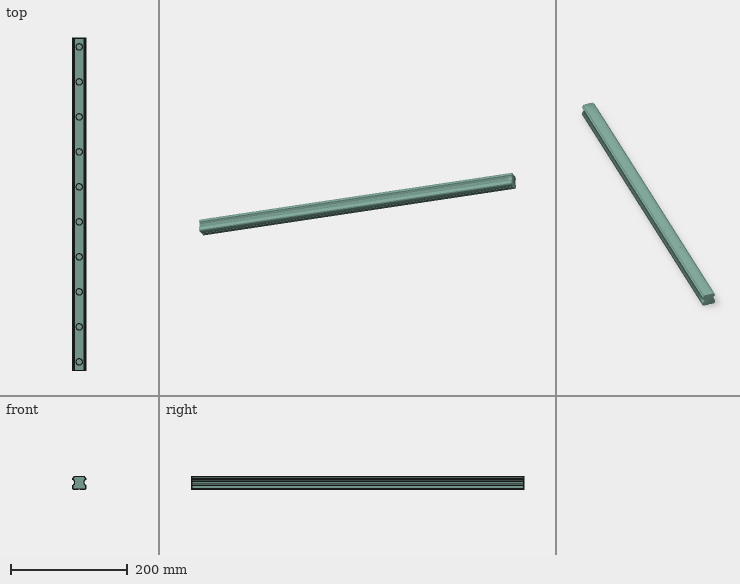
import cadquery as cq

rail_length = 570.0
rail_width = 23.0
rail_height = 22.0

foot_half_width = rail_width / 2
head_half_width = 11.35
race_inner_half_width = 9.1
neck_half_width = 8.4
top_half_width = 8.2

bottom_chamfer = 1.5
foot_upper_z = 6.3
neck_lower_z = 9.4
neck_upper_z = 13.7
lower_race_inner_z = 14.6
head_ridge_lower_z = 17.0
head_ridge_upper_z = 18.8
upper_race_inner_z = 21.3

race_sagitta = 0.5

base_groove_width = 4.0
base_groove_depth = 0.5

recess_count = 10
recess_pitch = 60.0
recess_diameter = 11.0
recess_depth = 0.1


def half_section():
    """Outline of the +X half of the rail section, closed along the symmetry plane."""
    groove_half_width = base_groove_width / 2
    foot = (
        cq.Workplane("XZ")
        .moveTo(0, base_groove_depth)
        .lineTo(groove_half_width, base_groove_depth)
        .lineTo(groove_half_width, 0)
        .lineTo(foot_half_width - bottom_chamfer, 0)
        .lineTo(foot_half_width, bottom_chamfer)
        .lineTo(foot_half_width, foot_upper_z)
    )
    neck = (
        foot.lineTo(neck_half_width, neck_lower_z)
        .lineTo(neck_half_width, neck_upper_z)
        .lineTo(race_inner_half_width, lower_race_inner_z)
    )
    head = (
        neck.sagittaArc((head_half_width, head_ridge_lower_z), race_sagitta)
        .lineTo(head_half_width, head_ridge_upper_z)
        .sagittaArc((race_inner_half_width, upper_race_inner_z), race_sagitta)
        .lineTo(top_half_width, rail_height)
        .lineTo(0, rail_height)
    )
    return head.close()


def rail_body():
    """Extrude the half section both ways along Y and join it to its mirror image."""
    half_body = half_section().extrude(rail_length / 2, both=True)
    return half_body.mirror("YZ", union=True).clean()


def cut_top_recesses(body):
    """Cut the row of round recesses along the middle of the top face."""
    return (
        body.faces(">Z")
        .workplane(origin=(0, 0, rail_height))
        .rarray(1, recess_pitch, 1, recess_count)
        .hole(recess_diameter, recess_depth)
    )


result = cut_top_recesses(rail_body())